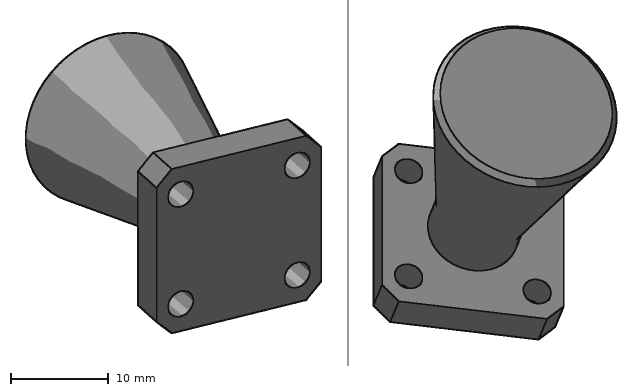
import cadquery as cq

length = 29.2
mouth_diameter = 19.25

rim_chamfer = 0.6
neck_diameter = 9.45
neck_length = 3.97

flange_thickness = 4.1
flange_side = 19.05
corner_chamfer = 1.75
hole_diameter = 2.9
hole_spacing_y = 13.47
hole_spacing_z = 12.7

flange_start = length - flange_thickness
neck_start = flange_start - neck_length
mouth_radius = mouth_diameter / 2
neck_radius = neck_diameter / 2


def make_horn():
    """Solid cone with a chamfered rim and a straight neck, revolved about X."""
    return (
        cq.Workplane("XY")
        .moveTo(0, 0)
        .lineTo(0, mouth_radius - rim_chamfer)
        .lineTo(rim_chamfer, mouth_radius)
        .lineTo(neck_start, neck_radius)
        .lineTo(flange_start, neck_radius)
        .lineTo(flange_start, 0)
        .close()
        .revolve(360, (0, 0, 0), (1, 0, 0))
    )


def make_flange():
    """Square plate with cut corners and four through holes."""
    plate = (
        cq.Workplane("YZ", origin=(flange_start, 0, 0))
        .rect(flange_side, flange_side)
        .extrude(flange_thickness)
        .edges("|X")
        .chamfer(corner_chamfer)
    )
    return (
        plate.faces(">X")
        .workplane(origin=(length, 0, 0))
        .rect(hole_spacing_y, hole_spacing_z, forConstruction=True)
        .vertices()
        .hole(hole_diameter)
    )


result = make_horn().union(make_flange())